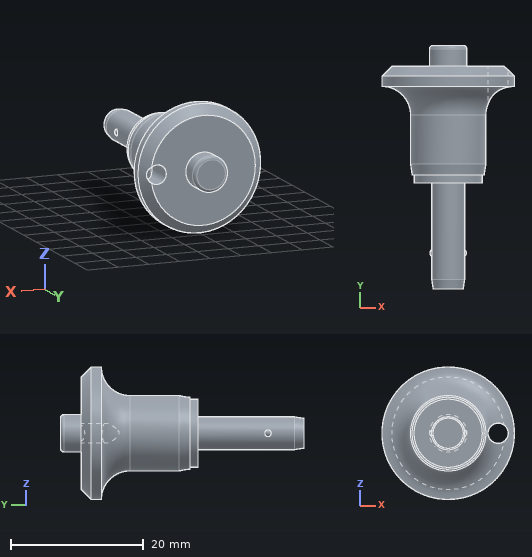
import cadquery as cq

total_length = 36.7

shank_radius = 2.5
tip_radius = 2.28
tip_length = 1.45
shank_length = 15.95

collar_radius = 5.15
collar_length = 1.2
taper_end_radius = 5.43
taper_length = 1.65
grip_radius = 5.7
grip_length = 7.38
rim_diameter = 20.0
rim_radius = rim_diameter / 2
rim_length = 1.55
rim_chamfer = 1.5
flare_radius = rim_radius - grip_radius

button_radius = 2.83
button_fillet = 0.5

ball_radius = 0.6
ball_reach = 2.75
ball_distance = 5.43

hole_radius = 1.5
hole_offset = 7.52

tip_y = -total_length / 2
button_y = total_length / 2
shoulder_y = tip_y + shank_length
collar_y = shoulder_y + collar_length
taper_y = collar_y + taper_length
flare_y = taper_y + grip_length
rim_y = flare_y + flare_radius
chamfer_y = rim_y + rim_length
flange_y = chamfer_y + rim_chamfer


def make_turned_body():
    """Revolve the half profile of shank, handle and button about Y."""
    flare_diagonal = flare_radius * 0.5 ** 0.5
    flare_middle = (rim_radius - flare_diagonal, flare_y + flare_diagonal)
    profile = (
        cq.Workplane("XY")
        .moveTo(0, tip_y)
        .lineTo(tip_radius, tip_y)
        .lineTo(shank_radius, tip_y + tip_length)
        .lineTo(shank_radius, shoulder_y)
        .lineTo(collar_radius, shoulder_y)
        .lineTo(collar_radius, collar_y)
        .lineTo(taper_end_radius, collar_y)
        .lineTo(grip_radius, taper_y)
        .lineTo(grip_radius, flare_y)
        .threePointArc(flare_middle, (rim_radius, rim_y))
        .lineTo(rim_radius, chamfer_y)
        .lineTo(rim_radius - rim_chamfer, flange_y)
        .lineTo(button_radius, flange_y)
        .lineTo(button_radius, button_y)
        .lineTo(0, button_y)
        .close()
    )
    body = profile.revolve(360, (0, 0, 0), (0, 1, 0))
    return body.faces(">Y").edges().fillet(button_fillet)


def make_ball(side):
    """Locking ball standing proud of the shank; side is +1 or -1 along X."""
    center_x = side * (ball_reach - ball_radius)
    return cq.Workplane("XY").sphere(ball_radius).translate((center_x, tip_y + ball_distance, 0))


def make_lanyard_hole():
    """Cylinder parallel to the axis, long enough to clear the whole part."""
    return (
        cq.Workplane("XZ", origin=(hole_offset, button_y, 0))
        .circle(hole_radius)
        .extrude(total_length)
    )


result = make_turned_body().cut(make_lanyard_hole())
for side in (-1, 1):
    result = result.union(make_ball(side))